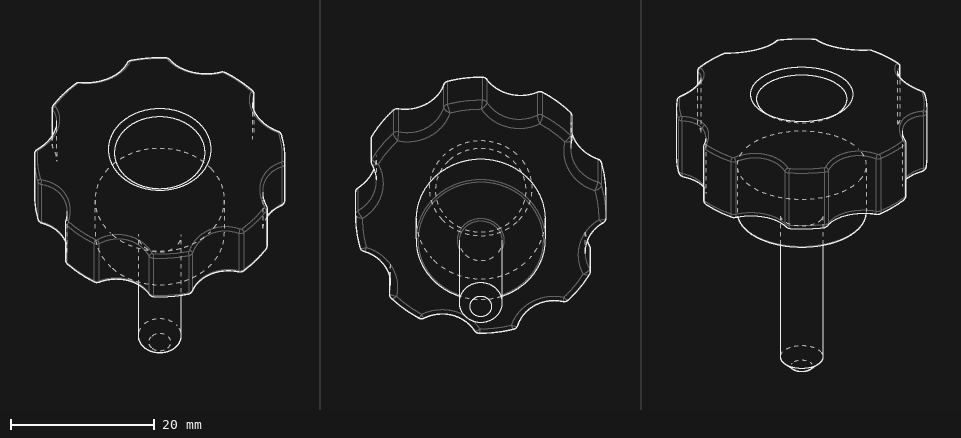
import cadquery as cq
import math


stud_diameter = 6.0
stud_length = 25.0
tip_chamfer = 1.47
neck_fillet = 0.25

hub_diameter = 18.0
hub_height = 8.0
hub_edge_fillet = 0.25

total_height = 44.65
head_radius = 17.45
flute_count = 8
flute_radius = 5.25
flute_axis_radius = 20.55
flute_edge_fillet = 0.7
head_bottom_fillet = 1.0
head_top_fillet = 0.5

crown_radius = 76.85
dish_rim_radius = 7.15
dish_floor_radius = 6.3
dish_depth = 0.75

head_bottom = stud_length + hub_height


def crown_height(radius):
    """Height of the spherical crown at a radius; it reaches the total height at the dish rim."""
    sphere_center = total_height - math.sqrt(crown_radius**2 - dish_rim_radius**2)
    return sphere_center + math.sqrt(crown_radius**2 - radius**2)


def make_head_blank():
    """Round head with a domed top, before the flutes are cut."""
    mid_radius = head_radius / 2
    return (
        cq.Workplane("XZ")
        .moveTo(0, head_bottom)
        .lineTo(head_radius, head_bottom)
        .lineTo(head_radius, crown_height(head_radius))
        .threePointArc((mid_radius, crown_height(mid_radius)), (0, crown_height(0)))
        .close()
        .revolve(360, (0, 0, 0), (0, 1, 0))
    )


def make_flute_cutters():
    """Ring of upright cylinders that scallop the rim of the head."""
    return (
        cq.Workplane("XY")
        .workplane(offset=head_bottom)
        .polarArray(flute_axis_radius, 0, 360, flute_count)
        .circle(flute_radius)
        .extrude(total_height - head_bottom)
    )


def make_dish_cutter():
    """Cone that opens upward from the dish floor through the rim, carried on above the crown."""
    clearance = 0.45
    floor_height = total_height - dish_depth
    wall_slope = (dish_rim_radius - dish_floor_radius) / dish_depth
    return cq.Workplane(
        cq.Solid.makeCone(
            dish_floor_radius,
            dish_rim_radius + wall_slope * clearance,
            dish_depth + clearance,
            pnt=cq.Vector(0, 0, floor_height),
        )
    )


def make_head():
    """Fluted head with rounded edges and a dish in its crown."""
    head = make_head_blank().cut(make_flute_cutters())
    head = head.edges("|Z").fillet(flute_edge_fillet)
    head = head.faces("<Z").edges().fillet(head_bottom_fillet)
    head = head.faces(">Z").edges().fillet(head_top_fillet)
    return head.cut(make_dish_cutter())


def make_hub_and_stud():
    """Hub and stud in one piece, with a fillet in the corner between them."""
    shoulder_face = cq.selectors.NearestToPointSelector((0, 0, stud_length))
    neck_edge = cq.selectors.RadiusNthSelector(0)
    hub = (
        cq.Workplane("XY")
        .workplane(offset=stud_length)
        .circle(hub_diameter / 2)
        .extrude(hub_height)
        .faces("<Z")
        .edges()
        .fillet(hub_edge_fillet)
    )
    stud = (
        cq.Workplane("XY")
        .circle(stud_diameter / 2)
        .extrude(stud_length)
        .faces("<Z")
        .chamfer(tip_chamfer)
    )
    return hub.union(stud).faces(shoulder_face).edges(neck_edge).fillet(neck_fillet)


result = make_head().union(make_hub_and_stud())